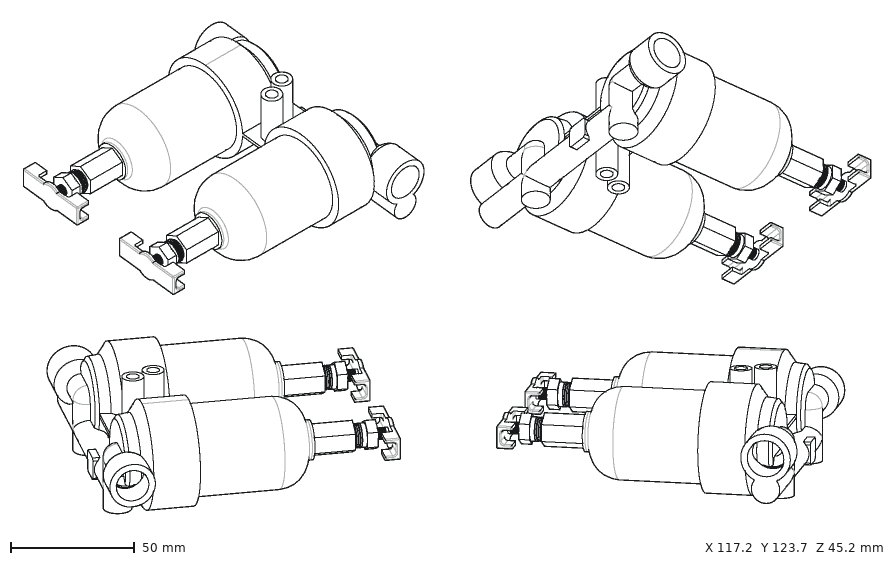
import cadquery as cq
import math


BOWL_SPACING = 58.3
BOWL_X = BOWL_SPACING / 2
CAP_TOP_RADIUS = 15.4
CAP_EDGE_RADIUS = 17.1
CAP_BASE_RADIUS = 17.6
CAP_EDGE_Y = -1.45
CAP_BASE_Y = -6.1
COLLAR_RADIUS = 22.58
COLLAR_REAR_Y = -10.1
COLLAR_FRONT_Y = -29.4
BODY_RADIUS = 18.95
BODY_FRONT_Y = -65.1
DOME_RADIUS = 12.5
NECK_RADIUS = 8.2
NECK_FILLET_RADIUS = 1.5
NECK_FRONT_Y = -79.8

SEAM_TURN = -90

VALVE_HEX_FLATS = 12.2
VALVE_HEX_FRONT_Y = -97.0
THREAD_CORE_RADIUS = 4.5
THREAD_CREST_RADIUS = 5.0
THREAD_PITCH = 1.6
THREAD_CREST_WIDTH = 0.6
THREAD_FLANK = 0.2
THREAD_COUNT = 2
THREAD_LEAD_IN = 0.6
THREAD_SHOULDER_LENGTH = 1.9
NUT_FLATS = 11.2
NUT_REAR_Y = -102.1
NUT_FRONT_Y = -106.5
STEM_RADIUS = 2.4
STEM_GROOVE_DEPTH = 0.25
STEM_GROOVE_PITCH = 0.8
STEM_GROOVE_WIDTH = 0.4
STEM_GROOVE_COUNT = 5

HANDLE_FRONT_Y = -113.45
HANDLE_REAR_Y = -107.0
HANDLE_WIDTH = 33.0
HANDLE_HEIGHT = 9.4
HANDLE_HUB_RADIUS = 6.2
HANDLE_THICKNESS = 1.8
TAB_WIDTH = 7.3
TAB_THICKNESS = 1.8
CHANNEL_CORNER_RADIUS = 1.5
TAB_CORNER_RADIUS = 0.8
HANDLE_EDGE_RADIUS = 0.5

PIPE_RADIUS = 5.85
PIPE_PASSAGE_RADIUS = 3.5
CROSS_PIPE_Z = -12.8
PORT_WALL = 2.7
BORE_STEP = 0.4
BORE_TAPER_LENGTH = 3.0
BORE_EXTRA_DEPTH = 1.6
SHOULDER_BULGE = 0.12
LEFT_PORT_X = -58.05
LEFT_PORT_RADIUS = 9.4
LEFT_PORT_LENGTH = 12.4
RIGHT_PORT_X = 59.18
RIGHT_PORT_RADIUS = 10.2
RIGHT_PORT_LENGTH = 13.8

PAD_X = -6.7
PAD_WIDTH = 10.3
PAD_HEIGHT = 9.6
PAD_REAR_Y = 6.45
PAD_CHAMFER = 1.0

WEB_THICKNESS = 1.5
WEB_REAR_Y = -1.45
TUBE_RADIUS = 4.45
TUBE_HOLE_RADIUS = 2.55
TUBE_CENTRES = [(-2.2, -12.1), (2.2, -21.4)]


def cylinder_x(x_start, x_end, radius, z=0):
    """Cylinder along X, centred on Y = 0 at height z."""
    start = cq.Workplane("YZ", origin=(x_start, 0, z))
    return start.circle(radius).extrude(x_end - x_start)


def cylinder_y(y_rear, y_front, radius):
    """Cylinder along Y on the bowl axis."""
    return cq.Workplane("XZ", origin=(0, y_rear, 0)).circle(radius).extrude(y_rear - y_front)


def hexagon_y(y_rear, y_front, across_flats):
    """Hexagonal prism along Y with two flats facing +X and -X."""
    across_corners = across_flats / math.cos(math.pi / 6)
    prism = cq.Workplane("XZ", origin=(0, y_rear, 0)).polygon(6, across_corners).extrude(y_rear - y_front)
    return prism.rotate((0, 0, 0), (0, 1, 0), 90)


def make_bowl():
    """Cap, collar, body, domed end and neck as one turned shape."""
    dome_centre_radius = BODY_RADIUS - DOME_RADIUS
    fillet_centre_radius = NECK_RADIUS + NECK_FILLET_RADIUS
    neck_angle = math.acos((fillet_centre_radius - dome_centre_radius) / (DOME_RADIUS + NECK_FILLET_RADIUS))
    fillet_y = BODY_FRONT_Y - (DOME_RADIUS + NECK_FILLET_RADIUS) * math.sin(neck_angle)

    def dome_point(angle):
        radius = dome_centre_radius + DOME_RADIUS * math.cos(angle)
        return radius, BODY_FRONT_Y - DOME_RADIUS * math.sin(angle)

    fillet_middle_angle = math.pi - neck_angle / 2
    fillet_middle = (
        fillet_centre_radius + NECK_FILLET_RADIUS * math.cos(fillet_middle_angle),
        fillet_y + NECK_FILLET_RADIUS * math.sin(fillet_middle_angle),
    )
    profile = (
        cq.Workplane("XY")
        .lineTo(CAP_TOP_RADIUS, 0)
        .lineTo(CAP_EDGE_RADIUS, CAP_EDGE_Y)
        .lineTo(CAP_BASE_RADIUS, CAP_BASE_Y)
        .lineTo(COLLAR_RADIUS, COLLAR_REAR_Y)
        .lineTo(COLLAR_RADIUS, COLLAR_FRONT_Y)
        .lineTo(BODY_RADIUS, COLLAR_FRONT_Y)
        .lineTo(BODY_RADIUS, BODY_FRONT_Y)
        .threePointArc(dome_point(neck_angle / 2), dome_point(neck_angle))
        .threePointArc(fillet_middle, (NECK_RADIUS, fillet_y))
        .lineTo(NECK_RADIUS, NECK_FRONT_Y)
        .lineTo(0, NECK_FRONT_Y)
        .close()
    )
    bowl = profile.revolve(360, (0, 0, 0), (0, 1, 0))
    return bowl.rotate((0, 0, 0), (0, 1, 0), SEAM_TURN)


def make_thread():
    """Core with raised rings and a plain shoulder against the nut."""
    points = [(0, VALVE_HEX_FRONT_Y), (THREAD_CORE_RADIUS, VALVE_HEX_FRONT_Y)]
    for index in range(THREAD_COUNT):
        ring_rear = VALVE_HEX_FRONT_Y - THREAD_LEAD_IN - index * THREAD_PITCH
        crest_rear = ring_rear - THREAD_FLANK
        crest_front = crest_rear - THREAD_CREST_WIDTH
        points.append((THREAD_CORE_RADIUS, ring_rear))
        points.append((THREAD_CREST_RADIUS, crest_rear))
        points.append((THREAD_CREST_RADIUS, crest_front))
        points.append((THREAD_CORE_RADIUS, crest_front - THREAD_FLANK))
    points.append((THREAD_CORE_RADIUS, NUT_REAR_Y))
    points.append((0, NUT_REAR_Y))
    core = cq.Workplane("XY").polyline(points).close().revolve(360, (0, 0, 0), (0, 1, 0))
    shoulder = cylinder_y(NUT_REAR_Y + THREAD_SHOULDER_LENGTH, NUT_REAR_Y, THREAD_CREST_RADIUS)
    return core.union(shoulder)


def make_stem():
    """Grooved spindle between the nut and the handle."""
    stem = cylinder_y(NUT_FRONT_Y, HANDLE_FRONT_Y + HANDLE_THICKNESS, STEM_RADIUS)
    for index in range(STEM_GROOVE_COUNT):
        groove_rear = NUT_FRONT_Y - STEM_GROOVE_WIDTH - index * STEM_GROOVE_PITCH
        groove_front = groove_rear - STEM_GROOVE_WIDTH
        outside = cylinder_y(groove_rear, groove_front, STEM_RADIUS + STEM_GROOVE_DEPTH)
        inside = cylinder_y(groove_rear, groove_front, STEM_RADIUS - STEM_GROOVE_DEPTH)
        stem = stem.cut(outside.cut(inside))
    return stem


def make_handle():
    """Flat bar with a round hub and a pair of rearward tabs at each end."""
    plate_rear_y = HANDLE_FRONT_Y + HANDLE_THICKNESS
    half_width = HANDLE_WIDTH / 2
    tab_inner_x = half_width - TAB_WIDTH
    side = (
        cq.Workplane("XY")
        .moveTo(-half_width, HANDLE_FRONT_Y)
        .lineTo(half_width, HANDLE_FRONT_Y)
        .lineTo(half_width, HANDLE_REAR_Y)
        .lineTo(tab_inner_x, HANDLE_REAR_Y)
        .lineTo(tab_inner_x, plate_rear_y + TAB_CORNER_RADIUS)
        .radiusArc((tab_inner_x - TAB_CORNER_RADIUS, plate_rear_y), TAB_CORNER_RADIUS)
        .lineTo(TAB_CORNER_RADIUS - tab_inner_x, plate_rear_y)
        .radiusArc((-tab_inner_x, plate_rear_y + TAB_CORNER_RADIUS), TAB_CORNER_RADIUS)
        .lineTo(-tab_inner_x, HANDLE_REAR_Y)
        .lineTo(-half_width, HANDLE_REAR_Y)
        .close()
        .extrude(HANDLE_HEIGHT / 2, both=True)
    )
    tab_depth = HANDLE_REAR_Y - plate_rear_y
    channel = cq.Workplane("XY").box(HANDLE_WIDTH, tab_depth, HANDLE_HEIGHT - 2 * TAB_THICKNESS)
    channel = channel.faces("<Y").edges("|X").fillet(CHANNEL_CORNER_RADIUS)
    channel = channel.translate((0, plate_rear_y + tab_depth / 2, 0))
    hub = cylinder_y(plate_rear_y, HANDLE_FRONT_Y, HANDLE_HUB_RADIUS)
    handle = side.cut(channel).union(hub)
    return handle.faces("<Y or <X or >X").edges().fillet(HANDLE_EDGE_RADIUS)


def make_filter():
    """One complete bowl with its drain valve, on the Y axis."""
    valve_body = hexagon_y(NECK_FRONT_Y, VALVE_HEX_FRONT_Y, VALVE_HEX_FLATS)
    nut = hexagon_y(NUT_REAR_Y, NUT_FRONT_Y, NUT_FLATS)
    filter_unit = make_bowl().union(valve_body).union(make_thread())
    return filter_unit.union(nut).union(make_stem()).union(make_handle())


def round_end(centre_x, direction, radius):
    """Middle and end points of the quarter arc closing a pipe with a hemisphere."""
    reach = radius * math.sqrt(0.5)
    return (centre_x + direction * reach, reach), (centre_x + direction * radius, 0)


def make_port(end_x, radius, length):
    """Port with a rounded shoulder and a pipe that turns downward at the bowl axis."""
    inward = -math.copysign(1, end_x)
    shoulder_drop = radius - PIPE_RADIUS
    shoulder_start = end_x + inward * length
    shoulder_end = shoulder_start + inward * shoulder_drop
    bulge = SHOULDER_BULGE * shoulder_drop
    shoulder_middle = (
        (shoulder_start + shoulder_end) / 2 + inward * bulge,
        (radius + PIPE_RADIUS) / 2 + bulge,
    )
    elbow_x = -inward * BOWL_X
    body = (
        cq.Workplane("XY")
        .moveTo(end_x, 0)
        .lineTo(end_x, radius)
        .lineTo(shoulder_start, radius)
        .threePointArc(shoulder_middle, (shoulder_end, PIPE_RADIUS))
        .lineTo(elbow_x, PIPE_RADIUS)
        .threePointArc(*round_end(elbow_x, inward, PIPE_RADIUS))
        .close()
        .revolve(360, (0, 0, 0), (1, 0, 0))
    )
    drop = cq.Workplane("XY").circle(PIPE_RADIUS).extrude(-COLLAR_RADIUS)
    drop = drop.rotate((0, 0, 0), (0, 0, 1), SEAM_TURN).translate((elbow_x, 0, 0))
    return body.union(drop)


def make_passage(end_x, radius, length):
    """Stepped port bore, its taper and the narrow passage with a round end."""
    inward = -math.copysign(1, end_x)
    bore_radius = radius - PORT_WALL
    bore_step_x = end_x + inward * length
    bore_end = bore_step_x + inward * BORE_EXTRA_DEPTH
    elbow_x = -inward * BOWL_X
    return (
        cq.Workplane("XY")
        .moveTo(end_x, 0)
        .lineTo(end_x, bore_radius)
        .lineTo(bore_step_x, bore_radius)
        .lineTo(bore_step_x, bore_radius - BORE_STEP)
        .lineTo(bore_end, bore_radius - BORE_STEP)
        .lineTo(bore_end + inward * BORE_TAPER_LENGTH, PIPE_PASSAGE_RADIUS)
        .lineTo(elbow_x, PIPE_PASSAGE_RADIUS)
        .threePointArc(*round_end(elbow_x, inward, PIPE_PASSAGE_RADIUS))
        .close()
        .revolve(360, (0, 0, 0), (1, 0, 0))
    )


def make_pad():
    """Square pad with chamfered corners standing on the rear of the cross pipe."""
    pad = cq.Workplane("XY").box(PAD_WIDTH, PAD_REAR_Y, PAD_HEIGHT).edges("|Y").chamfer(PAD_CHAMFER)
    return pad.translate((PAD_X, PAD_REAR_Y / 2, CROSS_PIPE_Z))


def make_piping():
    """Both ports with their elbows, the cross pipe and its pad, then bored."""
    ports = [
        (LEFT_PORT_X, LEFT_PORT_RADIUS, LEFT_PORT_LENGTH),
        (RIGHT_PORT_X, RIGHT_PORT_RADIUS, RIGHT_PORT_LENGTH),
    ]
    piping = cylinder_x(-BOWL_X, RIGHT_PORT_X, PIPE_RADIUS, CROSS_PIPE_Z).union(make_pad())
    for port in ports:
        piping = piping.union(make_port(*port))
    for port in ports:
        piping = piping.cut(make_passage(*port))
    return piping


def make_web():
    """Thin plate between the collars carrying the two mounting tubes."""
    length = WEB_REAR_Y - COLLAR_FRONT_Y
    web = cq.Workplane("XY").box(BOWL_SPACING, length, WEB_THICKNESS)
    web = web.translate((0, COLLAR_FRONT_Y + length / 2, 0))
    tubes = cq.Workplane("XY").pushPoints(TUBE_CENTRES).circle(TUBE_RADIUS)
    return web.union(tubes.extrude(COLLAR_RADIUS, both=True))


def make_tube_holes():
    """Through holes of the mounting tubes."""
    holes = cq.Workplane("XY").pushPoints(TUBE_CENTRES).circle(TUBE_HOLE_RADIUS)
    return holes.extrude(COLLAR_RADIUS, both=True)


filter_unit = make_filter()
result = make_piping().union(make_web())
for bowl_x in (-BOWL_X, BOWL_X):
    result = result.union(filter_unit.translate((bowl_x, 0, 0)))
result = result.cut(make_tube_holes())